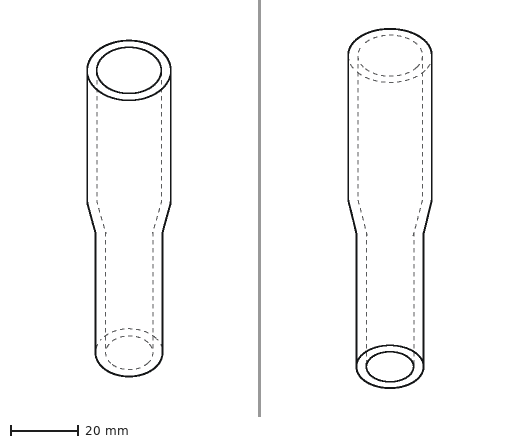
import cadquery as cq

length = 120.0
taper_bottom = 52.0
taper_top = 65.0

narrow_outer_radius = 20.0 / 2
narrow_bore_radius = 14.0 / 2
wide_outer_radius = 25.0 / 2
wide_bore_radius = 19.2 / 2


def stepped_cone(narrow_radius, wide_radius):
    """Solid of revolution about Z: narrow cylinder, taper, wide cylinder."""
    profile = [
        (0, 0),
        (narrow_radius, 0),
        (narrow_radius, taper_bottom),
        (wide_radius, taper_top),
        (wide_radius, length),
        (0, length),
    ]
    return cq.Workplane("XZ").polyline(profile).close().revolve(360, (0, 0), (0, 1))


body = stepped_cone(narrow_outer_radius, wide_outer_radius)
bore = stepped_cone(narrow_bore_radius, wide_bore_radius)
result = body.cut(bore)